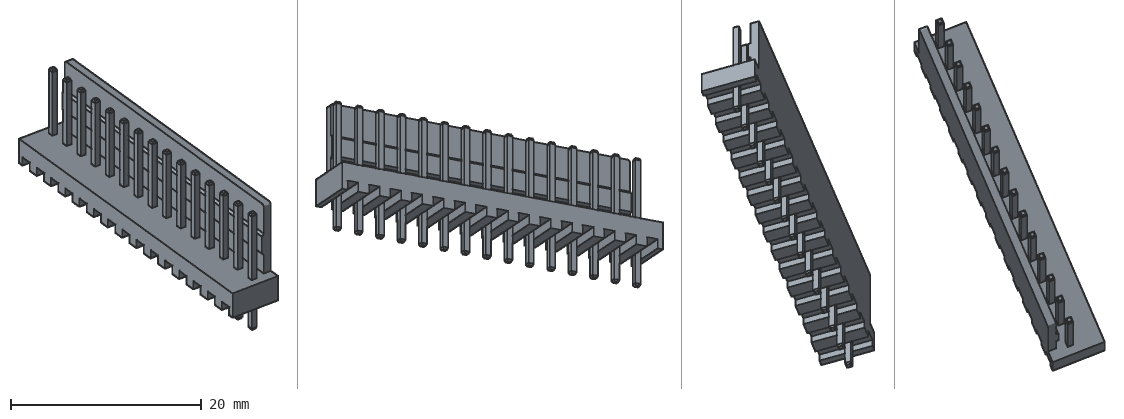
import cadquery as cq

length = 38.1
depth = 5.9
overall_height = 14.7
pin_count = 15
pitch = length / pin_count
pin_span = (pin_count - 1) * pitch

base_height = 3.0
slot_width = pitch / 2
slot_height = 1.03

wall_height = 8.45
wall_length = pin_span
wall_thickness = 0.9
corner_radius = 0.35
back_y = depth / 2
wall_face_y = back_y - wall_thickness
wall_top = base_height + wall_height

rib_bottom = 5.3
rib_top = 7.92
rib_projection = 0.25

pin_size = 0.65
pin_tip_inset = 0.1
pin_tip_height = 0.248
pin_back_distance = 2.4
pin_y = back_y - pin_back_distance
pin_top_gap = 0.4
pin_top = wall_top - pin_top_gap
pin_bottom = wall_top - overall_height

pin_positions = [(index * pitch - pin_span / 2, pin_y) for index in range(pin_count)]


def make_base():
    """Block with one slot per pin cut front to back through the underside."""
    block = cq.Workplane("XY").box(length, depth, base_height, centered=(True, True, False))
    slots = (
        cq.Workplane("XY")
        .pushPoints([(x, 0) for x, _ in pin_positions])
        .rect(slot_width, depth)
        .extrude(slot_height)
    )
    return block.cut(slots)


def make_wall():
    """Upright wall with rounded upper corners."""
    return (
        cq.Workplane("XY", origin=(0, back_y - wall_thickness / 2, base_height))
        .box(wall_length, wall_thickness, wall_height, centered=(True, True, False))
        .edges("|Y and >Z")
        .fillet(corner_radius)
    )


def make_rib():
    """Rib with 45-degree sloping edges, running the full length of the wall."""
    rib_face_y = wall_face_y - rib_projection
    return (
        cq.Workplane("YZ", origin=(-wall_length / 2, 0, 0))
        .moveTo(back_y, rib_bottom)
        .lineTo(wall_face_y, rib_bottom)
        .lineTo(rib_face_y, rib_bottom + rib_projection)
        .lineTo(rib_face_y, rib_top - rib_projection)
        .lineTo(wall_face_y, rib_top)
        .lineTo(back_y, rib_top)
        .close()
        .extrude(wall_length)
    )


def make_pins():
    """Row of square pins, tapered at both ends."""
    pin = (
        cq.Workplane("XY", origin=(0, 0, pin_bottom))
        .rect(pin_size, pin_size)
        .extrude(pin_top - pin_bottom)
        .faces("<Z or >Z")
        .chamfer(pin_tip_height, pin_tip_inset)
    )
    return cq.Workplane("XY").pushPoints(pin_positions).eachpoint(
        lambda location: pin.val().moved(location)
    )


result = make_base().union(make_wall()).union(make_rib()).union(make_pins())